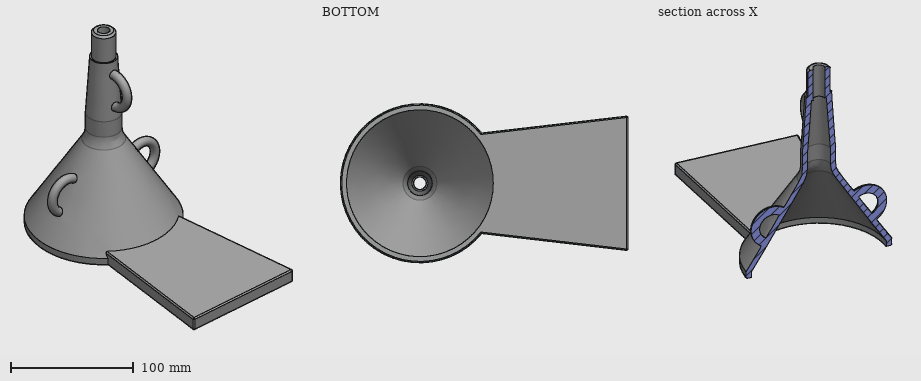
import cadquery as cq
import math

RIM_RADIUS = 130.0 / 2
RIM_HEIGHT = 7.0
RIM_CHAMFER = 1.2
NECK_RADIUS = 30.0 / 2
CONE_TOP = 87.0
NECK_BLEND = 20.0
TAPER_BOTTOM = 107.6
TAPER_TOP = 162.0
TAPER_TOP_RADIUS = 11.5
TIP_RADIUS = 20.2 / 2
BORE_RADIUS = 10.0 / 2
WALL = TIP_RADIUS - BORE_RADIUS
HEIGHT = 187.0
TIP_CHAMFER = 1.9

LENGTH = 235.0
PLATE_END = LENGTH - RIM_RADIUS
PLATE_THICKNESS = 12.0
PLATE_NEAR_X = 47.0
PLATE_NEAR_WIDTH = 81.3
PLATE_END_WIDTH = 110.0
PLATE_CHAMFER = 1.2

RING_TUBE_RADIUS = 4.0
RING_RADIUS = 15.0
CONE_RING_Z = 44.6
NECK_RING_Z = 134.7

CONE_SLOPE = (RIM_RADIUS - NECK_RADIUS) / (CONE_TOP - RIM_HEIGHT)
CONE_HALF_ANGLE = math.atan(CONE_SLOPE)


def cone_drop(inset):
    """How far a corner between a vertical wall and the cone drops when both are inset."""
    return inset * math.tan(CONE_HALF_ANGLE / 2)


def funnel_form(inset):
    """Solid funnel shape, drawn in by the inset on every side but its two ends."""
    drop = cone_drop(inset)
    neck_corner_z = CONE_TOP - drop
    profile = [
        (0, 0),
        (RIM_RADIUS - inset, 0),
        (RIM_RADIUS - inset, RIM_HEIGHT - drop),
        (NECK_RADIUS - inset, neck_corner_z),
        (NECK_RADIUS - inset, TAPER_BOTTOM),
        (TAPER_TOP_RADIUS - inset, TAPER_TOP - inset),
        (TIP_RADIUS - inset, TAPER_TOP - inset),
        (TIP_RADIUS - inset, HEIGHT),
        (0, HEIGHT),
    ]
    form = cq.Workplane("XZ").polyline(profile).close().revolve(360, (0, 0), (0, 1))
    neck_corner = form.edges(cq.selectors.NearestToPointSelector((0, 0, neck_corner_z)))
    return neck_corner.fillet(NECK_BLEND + inset)


def half_width_at(x):
    """Half the plate width at x; its sides are straight."""
    spread = (PLATE_END_WIDTH - PLATE_NEAR_WIDTH) / 2 / (PLATE_END - PLATE_NEAR_X)
    return PLATE_NEAR_WIDTH / 2 + spread * (x - PLATE_NEAR_X)


def grip_plate():
    """Flat trapezoid reaching in to the axis, where the funnel hides it, with chamfered edges."""
    outline = [
        (0, -half_width_at(0)),
        (PLATE_END, -PLATE_END_WIDTH / 2),
        (PLATE_END, PLATE_END_WIDTH / 2),
        (0, half_width_at(0)),
    ]
    plate = cq.Workplane("XY").polyline(outline).close().extrude(PLATE_THICKNESS)
    return plate.edges("not <X").chamfer(PLATE_CHAMFER)


def ring_handle(distance, z, turn):
    """Ring in a vertical plane through the axis, turned about Z from +X."""
    ring = (
        cq.Workplane("XY", origin=(distance - RING_RADIUS, 0, z))
        .circle(RING_TUBE_RADIUS)
        .revolve(360, (RING_RADIUS, 0), (RING_RADIUS, 1))
    )
    return ring.rotate((0, 0, 0), (0, 0, 1), turn)


body = funnel_form(0)
body = body.faces("<Z").edges().chamfer(RIM_CHAMFER)
body = body.faces(">Z").edges().chamfer(TIP_CHAMFER)
body = body.union(grip_plate())

cone_ring_distance = RIM_RADIUS - CONE_SLOPE * (CONE_RING_Z - RIM_HEIGHT)
for turn in (90, -90):
    body = body.union(ring_handle(cone_ring_distance, CONE_RING_Z, turn))

taper_share = (NECK_RING_Z - TAPER_BOTTOM) / (TAPER_TOP - TAPER_BOTTOM)
neck_ring_distance = NECK_RADIUS + (TAPER_TOP_RADIUS - NECK_RADIUS) * taper_share
body = body.union(ring_handle(neck_ring_distance, NECK_RING_Z, 0))

result = body.cut(funnel_form(WALL))